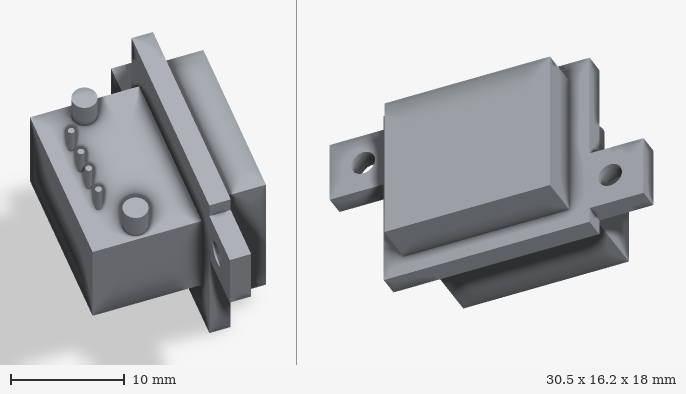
import cadquery as cq

panel_width = 20.0
panel_height = 18.0
plate_thickness = 2.0
overall_width = 30.5
ear_height = 6.0
ear_center_z = 4.5
mount_hole_spacing = 24.0
mount_hole_diameter = 2.3

housing_width = 16.1
housing_height = 9.0
housing_depth = 10.2
rear_block_height = 14.1
rear_block_depth = 4.0

post_height = 2.55
peg_diameter = 2.3
peg_spacing = 13.14
peg_setback = 4.55
pin_diameter = 0.6
pin_setback = 2.2
outer_pin_spacing = 7.0
inner_pin_spacing = 2.0

housing_front_y = -housing_depth
housing_top_z = housing_height / 2


def block(width, height, front_y, depth):
    """Box centered on the Y axis, running from front_y toward +Y."""
    return cq.Workplane("XY").box(width, depth, height).translate((0, front_y + depth / 2, 0))


def flange_plate():
    """Panel with a drilled ear high on the +X side and another low on the -X side."""
    plate = block(panel_width, panel_height, 0, plate_thickness)
    for side in (-1, 1):
        ear_width = overall_width / 2
        ear = block(ear_width, ear_height, 0, plate_thickness)
        plate = plate.union(ear.translate((side * ear_width / 2, 0, side * ear_center_z)))
    holes = (
        cq.Workplane("XZ")
        .pushPoints([(side * mount_hole_spacing / 2, side * ear_center_z) for side in (-1, 1)])
        .circle(mount_hole_diameter / 2)
        .extrude(-plate_thickness)
    )
    return plate.cut(holes)


def post_pair(spacing, diameter, setback):
    """Two round posts on the housing top, mirrored about X = 0."""
    post_y = housing_front_y + setback
    return (
        cq.Workplane("XY", origin=(0, post_y, housing_top_z))
        .pushPoints([(-spacing / 2, 0), (spacing / 2, 0)])
        .circle(diameter / 2)
        .extrude(post_height)
    )


housing = block(housing_width, housing_height, housing_front_y, housing_depth)
rear_block = block(housing_width, rear_block_height, plate_thickness, rear_block_depth)

result = (
    flange_plate()
    .union(housing)
    .union(rear_block)
    .union(post_pair(peg_spacing, peg_diameter, peg_setback))
    .union(post_pair(outer_pin_spacing, pin_diameter, pin_setback))
    .union(post_pair(inner_pin_spacing, pin_diameter, pin_setback))
)